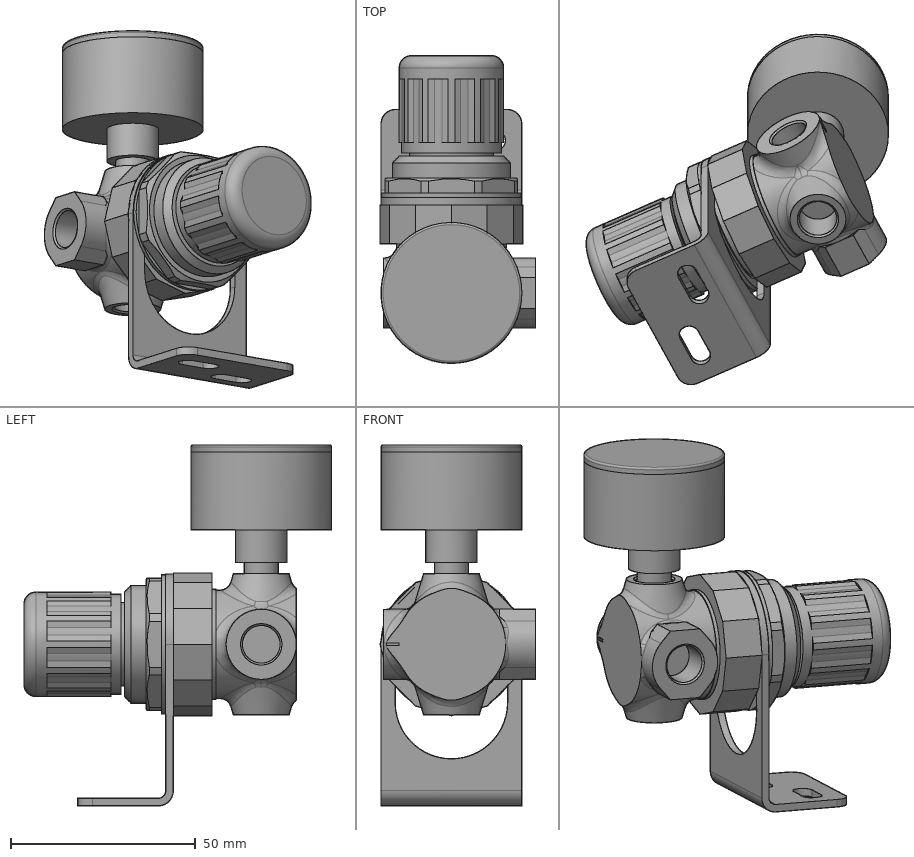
import cadquery as cq
import math


core_radius = 14.7
front_y = -9.53
port_radius = 9.5
inlet_end_x = -18.4
outlet_end_x = 22.8
port_bore_mouth_radius = 5.6
port_bore_radius = 5.1
port_bore_depth = 10.0
inlet_blend_radius = 3.5
outlet_blend_radius = 1.4
outlet_pad_width = 8.5
outlet_pad_start_x = 13.0
boss_root = 9.0
boss_height = 19.15
boss_tip_radius = 7.56
boss_taper = 0.3
boss_blend_radius = 3.0
blend_overrun = 8.0
seam_search_reach = 2.0
mark_tip_x = -17.6
mark_length = 3.4
mark_width = 0.7
mark_depth = 0.3
body_flange_radius = 14.95
body_flange_thickness = 1.0

bonnet_front_y = 13.3
bracket_front_y = 23.8
sheet_thickness = 2.1
nut_front_y = bracket_front_y + sheet_thickness
nut_back_y = 31.2
thread_back_y = 37.05
knob_front_y = 37.95
knob_grip_y = 40.75
groove_back_y = 58.0
knob_back_y = 64.33

bonnet_sides = 12
bonnet_corner_radius = 19.36
spigot_radius = 15.2
thread_radius = 16.0
thread_chamfer = 1.8
spindle_radius = 11.35

bracket_width = 38.2
bracket_bottom_z = -43.8
bend_inner_radius = 2.05
foot_back_y = 49.75
foot_corner_radius = 4.0
opening_drop = 15.8
slot_radius = 2.7
slot_end_x = 11.9
slot_straight = 7.0
left_slot_y = 33.5
right_slot_y = 41.3

nut_flange_radius = 18.9
nut_flange_thickness = 1.15
nut_radius = 19.0
nut_flats = 8
nut_flat_distance = 17.95
nut_chamfer_height = 0.9
nut_chamfer_width = 1.5

knob_radius = 14.18
knob_ring_radius = 13.6
knob_fillet = 3.35
groove_count = 12
groove_mouth_angle = 22.6
groove_floor_angle = 8.9
groove_overrun = 1.4

gauge_radius = 19.1
gauge_bottom_z = 31.0
lens_bottom_z = 52.15
gauge_top_z = 54.0
lens_edge_radius = 0.6
socket_radius = 7.0
socket_bottom_z = 22.1
stem_radius = 4.65


def disc_y(radius, start_y, end_y):
    """Cylinder about the regulator axis."""
    return cq.Workplane("XZ", origin=(0, start_y, 0)).circle(radius).extrude(start_y - end_y)


def rod_x(radius, start_x, end_x):
    """Cylinder about the port axis."""
    return cq.Workplane("YZ", origin=(start_x, 0, 0)).circle(radius).extrude(end_x - start_x)


def rod_z(radius, start_z, end_z):
    """Cylinder about the gauge axis."""
    return cq.Workplane("XY", origin=(0, 0, start_z)).circle(radius).extrude(end_z - start_z)


def cone(base_radius, tip_radius, height, base, direction):
    """Truncated cone from a base point along a direction."""
    solid = cq.Solid.makeCone(base_radius, tip_radius, height, cq.Vector(*base), cq.Vector(*direction))
    return cq.Workplane(obj=solid)


def port_bore(mouth, direction):
    """Blind port bore with a 45 degree countersink at its mouth."""
    bore = cq.Solid.makeCylinder(port_bore_radius, port_bore_depth, cq.Vector(*mouth), cq.Vector(*direction))
    sink_depth = port_bore_mouth_radius - port_bore_radius
    sink = cone(port_bore_mouth_radius, port_bore_radius, sink_depth, mouth, direction)
    return sink.union(cq.Workplane(obj=bore))


def gauge_boss(side):
    """Tapered boss on the top (side 1) or bottom (side -1) of the body."""
    height = boss_height - boss_root
    root_radius = boss_tip_radius + boss_taper * height
    return cone(root_radius, boss_tip_radius, height, (0, 0, side * boss_root), (0, 0, side))


def outlet_pad(side):
    """Flat pad along the top (side 1) or bottom (side -1) of the outlet.

    Its flanks run tangent into the round port.
    """
    half_width = outlet_pad_width / 2
    tangent_angle = 2 * math.atan(half_width / port_radius)
    tangent_y = port_radius * math.sin(tangent_angle)
    tangent_z = port_radius * math.cos(tangent_angle)
    corners = [
        (-tangent_y, side * tangent_z),
        (-half_width, side * port_radius),
        (half_width, side * port_radius),
        (tangent_y, side * tangent_z),
    ]
    section = cq.Workplane("YZ", origin=(outlet_pad_start_x, 0, 0)).polyline(corners).close()
    return section.extrude(outlet_end_x - outlet_pad_start_x)


def seam_at(x, z):
    """Selector for the seam whose centre lies near the point (x, 0, z)."""
    reach = seam_search_reach
    return cq.selectors.BoxSelector((x - reach, -reach, z - reach), (x + reach, reach, z + reach))


def make_body():
    """Cross-shaped valve body with blended ports and gauge bosses."""
    body = disc_y(core_radius, front_y - blend_overrun, bonnet_front_y + blend_overrun)
    body = body.union(gauge_boss(1)).union(gauge_boss(-1))
    body = body.union(rod_x(port_radius, inlet_end_x, 0))
    port_seam_x = (core_radius + math.sqrt(core_radius**2 - port_radius**2)) / 2
    boss_seam_z = core_radius - seam_search_reach
    body = body.edges(seam_at(-port_seam_x, 0)).fillet(inlet_blend_radius)
    for side in (1, -1):
        body = body.edges(seam_at(0, side * boss_seam_z)).fillet(boss_blend_radius)
    flange_front_y = bonnet_front_y - body_flange_thickness
    body = body.intersect(disc_y(2 * core_radius, front_y, flange_front_y))

    body = body.union(rod_x(port_radius, 0, outlet_end_x))
    body = body.edges(seam_at(port_seam_x, 0)).fillet(outlet_blend_radius)

    body = body.union(outlet_pad(1)).union(outlet_pad(-1))
    body = body.union(disc_y(body_flange_radius, flange_front_y, bonnet_front_y))

    body = body.cut(port_bore((inlet_end_x, 0, 0), (1, 0, 0)))
    body = body.cut(port_bore((outlet_end_x, 0, 0), (-1, 0, 0)))
    for side in (1, -1):
        body = body.cut(port_bore((0, 0, side * boss_height), (0, 0, -side)))

    mark = cq.Workplane("XY", origin=(mark_tip_x, front_y, 0)).box(
        mark_length, mark_depth, mark_width, centered=(False, False, True)
    )
    return body.cut(mark)


def make_bonnet():
    """Twelve-sided bonnet with its bracket spigot, nut thread and spindle in one piece."""
    prism = cq.Workplane("XZ", origin=(0, bonnet_front_y, 0)).polygon(bonnet_sides, 2 * bonnet_corner_radius)
    bonnet = prism.extrude(bonnet_front_y - bracket_front_y)
    bonnet = bonnet.union(disc_y(spigot_radius, bracket_front_y, nut_front_y))
    thread = disc_y(thread_radius, nut_front_y, thread_back_y).faces(">Y").chamfer(thread_chamfer)
    return bonnet.union(thread).union(disc_y(spindle_radius, thread_back_y, knob_front_y))


def foot_slot(center_x, center_y):
    """Cutter for one mounting slot of the bracket foot, running along X."""
    slot = cq.Workplane("XY", origin=(center_x, center_y, bracket_bottom_z))
    return slot.slot2D(slot_straight + 2 * slot_radius, 2 * slot_radius).extrude(sheet_thickness)


def make_bracket():
    """Bent sheet bracket: round-topped plate with a clearance opening, and a slotted foot."""
    half_width = bracket_width / 2
    foot_length = foot_back_y - bracket_front_y
    bend_outer_radius = bend_inner_radius + sheet_thickness

    profile = (
        cq.Workplane("YZ", origin=(-half_width, 0, 0))
        .moveTo(bracket_front_y, half_width)
        .lineTo(bracket_front_y, bracket_bottom_z + bend_outer_radius)
        .radiusArc((bracket_front_y + bend_outer_radius, bracket_bottom_z), -bend_outer_radius)
        .lineTo(foot_back_y, bracket_bottom_z)
        .lineTo(foot_back_y, bracket_bottom_z + sheet_thickness)
        .lineTo(bracket_front_y + bend_outer_radius, bracket_bottom_z + sheet_thickness)
        .radiusArc((nut_front_y, bracket_bottom_z + bend_outer_radius), bend_inner_radius)
        .lineTo(nut_front_y, half_width)
        .close()
    )
    bracket = profile.extrude(bracket_width)

    outline = (
        cq.Workplane("XZ", origin=(0, bracket_front_y, 0))
        .moveTo(-half_width, 0)
        .threePointArc((0, half_width), (half_width, 0))
        .lineTo(half_width, bracket_bottom_z)
        .lineTo(-half_width, bracket_bottom_z)
        .close()
        .extrude(-foot_length)
    )
    bracket = bracket.intersect(outline)
    bracket = bracket.edges("|Z and >Y").fillet(foot_corner_radius)

    opening = (
        cq.Workplane("XZ", origin=(0, bracket_front_y, -opening_drop / 2))
        .slot2D(opening_drop + 2 * spigot_radius, 2 * spigot_radius, 90)
        .extrude(-sheet_thickness)
    )
    slot_center_x = slot_end_x - slot_straight / 2
    bracket = bracket.cut(opening)
    return bracket.cut(foot_slot(-slot_center_x, left_slot_y)).cut(foot_slot(slot_center_x, right_slot_y))


def make_nut():
    """Flanged panel nut with eight wrench flats and a chamfered back rim."""
    flange_back_y = nut_front_y + nut_flange_thickness
    nut = disc_y(nut_radius, flange_back_y, nut_back_y)
    nut = nut.faces(">Y").chamfer(nut_chamfer_height, nut_chamfer_width)
    flats = (
        cq.Workplane("XZ", origin=(0, flange_back_y, 0))
        .polygon(nut_flats, 2 * nut_flat_distance, circumscribed=True)
        .extrude(flange_back_y - nut_back_y)
    )
    nut = nut.intersect(flats)
    nut = nut.union(disc_y(nut_flange_radius, nut_front_y, flange_back_y))
    return nut.cut(disc_y(thread_radius, nut_front_y, nut_back_y))


def grip_groove(angle):
    """Cutter for one knob groove with sloping walls, centred at an angle from +X."""

    def point(radius, offset):
        direction = math.radians(angle + offset)
        return (radius * math.cos(direction), radius * math.sin(direction))

    mouth = groove_mouth_angle / 2
    floor = groove_floor_angle / 2
    over_radius = knob_radius + groove_overrun
    return (
        cq.Workplane("XZ", origin=(0, knob_grip_y, 0))
        .moveTo(*point(over_radius, -mouth))
        .lineTo(*point(knob_radius, -mouth))
        .lineTo(*point(knob_ring_radius, -floor))
        .threePointArc(point(knob_ring_radius, 0), point(knob_ring_radius, floor))
        .lineTo(*point(knob_radius, mouth))
        .lineTo(*point(over_radius, mouth))
        .close()
        .extrude(knob_grip_y - groove_back_y)
    )


def make_knob():
    """Adjusting knob with a plain front ring and a grooved grip."""
    knob = disc_y(knob_radius, knob_grip_y, knob_back_y).faces(">Y").edges().fillet(knob_fillet)
    knob = knob.union(disc_y(knob_ring_radius, knob_front_y, knob_grip_y))
    pitch = 360 / groove_count
    for index in range(groove_count):
        knob = knob.cut(grip_groove((index + 0.5) * pitch))
    return knob


def make_gauge():
    """Gauge case with its socket and the stem that stands on the floor of the top bore."""
    gauge = rod_z(gauge_radius, gauge_bottom_z, lens_bottom_z)
    gauge = gauge.union(rod_z(socket_radius, socket_bottom_z, gauge_bottom_z))
    return gauge.union(rod_z(stem_radius, boss_height - port_bore_depth, socket_bottom_z))


def make_lens():
    """Round-edged cover on top of the gauge case."""
    return rod_z(gauge_radius, lens_bottom_z, gauge_top_z).faces(">Z").edges().fillet(lens_edge_radius)


body = make_body()
bonnet = make_bonnet()
bracket = make_bracket()
nut = make_nut()
knob = make_knob()
gauge = make_gauge()
lens = make_lens()

result = cq.Compound.makeCompound(
    [body.val(), bonnet.val(), bracket.val(), nut.val(), knob.val(), gauge.val(), lens.val()]
)